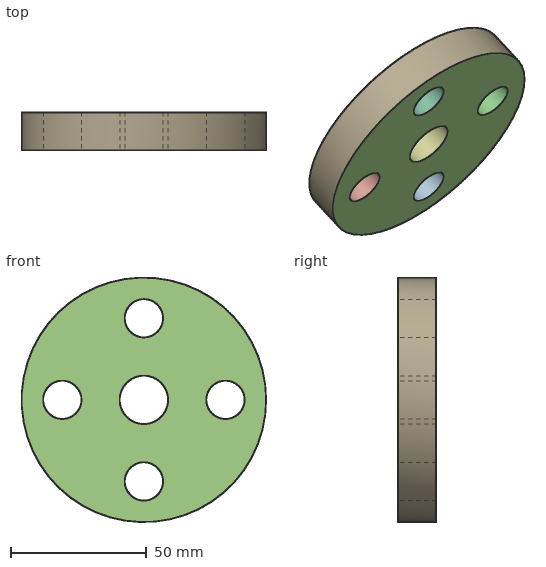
import cadquery as cq

disc_diameter = 90.0
disc_thickness = 14.0
bore_diameter = 17.7
bolt_hole_diameter = 14.0
bolt_circle_diameter = 60.0
bolt_hole_count = 4


def rear_plane():
    """Sketch plane on the +Y face of the disc; its normal points along -Y through the part."""
    return cq.Workplane("XZ", origin=(0, disc_thickness / 2, 0))


def make_disc():
    """Round plate with its axis along Y, centred on the origin."""
    return rear_plane().circle(disc_diameter / 2).extrude(disc_thickness)


def make_bore():
    """Cutter for the central through hole."""
    return rear_plane().circle(bore_diameter / 2).extrude(disc_thickness)


def make_bolt_holes():
    """Cutters for the equally spaced through holes on the bolt circle, the first one on +X."""
    return (
        rear_plane()
        .polarArray(bolt_circle_diameter / 2, 0, 360, bolt_hole_count)
        .circle(bolt_hole_diameter / 2)
        .extrude(disc_thickness)
    )


result = make_disc().cut(make_bore()).cut(make_bolt_holes())